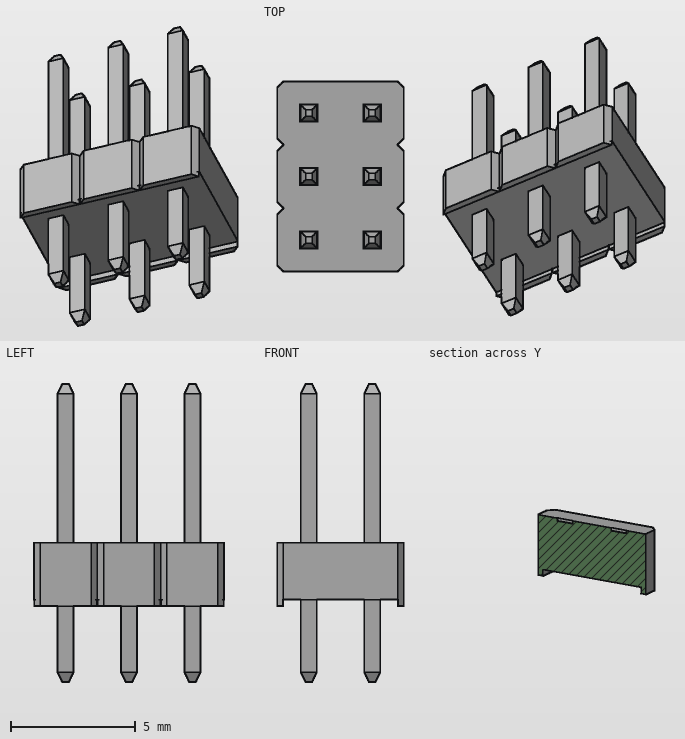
import cadquery as cq

segment_count = 3
pins_per_segment = 2
housing_x = 5.07
housing_y = 7.62
segment_y = housing_y / segment_count
pitch_x = housing_x / pins_per_segment
housing_bottom = 3.05
housing_height = 2.54
housing_top = housing_bottom + housing_height
corner_chamfer = 0.25

rail_width = 0.24
channel_depth = 0.26

pin_length = 11.94
pin_width = 0.65
tip_width = 0.26
tip_length = 0.39

clearance_width = 0.7
clearance_depth = 0.12


def upright_box(width_x, width_y, bottom, top):
    """Box centred on the Z axis between two heights."""
    return (
        cq.Workplane("XY")
        .workplane(offset=bottom)
        .rect(width_x, width_y)
        .extrude(top - bottom)
    )


def make_segment():
    """One housing segment with its four vertical corners chamfered."""
    block = upright_box(housing_x, segment_y, housing_bottom, housing_top)
    return block.edges("|Z").chamfer(corner_chamfer)


def make_tip(base, end):
    """Tapered pin end, from full width at the base height to the blunt end."""
    return (
        cq.Workplane("XY")
        .workplane(offset=base)
        .rect(pin_width, pin_width)
        .workplane(offset=end - base)
        .rect(tip_width, tip_width)
        .loft(ruled=True)
    )


def make_pin():
    shank = upright_box(pin_width, pin_width, tip_length, pin_length - tip_length)
    lower_tip = make_tip(tip_length, 0)
    upper_tip = make_tip(pin_length - tip_length, pin_length)
    return shank.union(lower_tip).union(upper_tip)


def centred_row(count, spacing):
    """Positions of equally spaced items, centred on zero."""
    return [(i - (count - 1) / 2) * spacing for i in range(count)]


segment_places = centred_row(segment_count, segment_y)
pin_places = [(x, y) for x in centred_row(pins_per_segment, pitch_x) for y in segment_places]

segment = make_segment()
housing = segment.translate((0, segment_places[0], 0))
for y in segment_places[1:]:
    housing = housing.union(segment.translate((0, y, 0)))

channel_width = housing_x - 2 * rail_width
housing = housing.cut(
    upright_box(channel_width, housing_y, housing_bottom, housing_bottom + channel_depth)
)

clearance = upright_box(clearance_width, clearance_width, housing_top - clearance_depth, housing_top)
pin = make_pin()

result = housing
for x, y in pin_places:
    result = result.cut(clearance.translate((x, y, 0)))
    result = result.union(pin.translate((x, y, 0)))